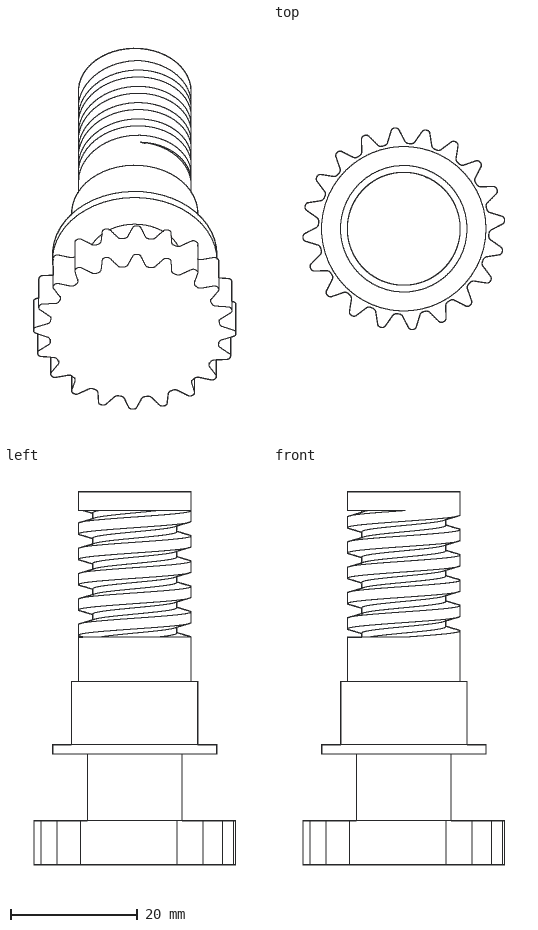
import cadquery as cq
import math

TOOTH_COUNT = 20
TIP_RADIUS = 16.0
ROOT_RADIUS = 13.5
GEAR_HEIGHT = 7.0
PITCH_RADIUS = TIP_RADIUS * TOOTH_COUNT / (TOOTH_COUNT + 2)
TOOTH_THICKNESS = 2.15
FLANK_ANGLE = 22.0
TIP_FILLET = 0.6
ROOT_FILLET = 0.7
FIRST_TOOTH_ANGLE = 5.0

NECK_DIAMETER = 15.0
NECK_TOP = 17.5
FLANGE_DIAMETER = 26.0
FLANGE_TOP = 19.0
SHOULDER_DIAMETER = 20.0
SHOULDER_TOP = 29.0
WORM_DIAMETER = 17.85
SHAFT_TOP = 59.0

THREAD_BOTTOM = 36.0
THREAD_PITCH = 4.0
THREAD_TURNS = 5
THREAD_TOP = THREAD_BOTTOM + THREAD_TURNS * THREAD_PITCH
CORE_DIAMETER = 13.29
GROOVE_ROOT_WIDTH = THREAD_PITCH / 4
GROOVE_FLANK_ANGLE = 16.0
GROOVE_START_ANGLE = 167.5
OVERCUT = 0.5


def cylinder(diameter, bottom, top):
    return cq.Workplane("XY").workplane(offset=bottom).circle(diameter / 2).extrude(top - bottom)


def half_thickness(radius):
    """Half the tooth thickness at a distance along the tooth centre line."""
    return TOOTH_THICKNESS / 2 - (radius - PITCH_RADIUS) * math.tan(math.radians(FLANK_ANGLE))


def gear_blank():
    """Root disc with one straight-flanked tooth per step, trimmed to the tip circle."""
    inner = ROOT_RADIUS - OVERCUT
    outer = TIP_RADIUS + OVERCUT
    corners = [
        (inner, -half_thickness(inner)),
        (outer, -half_thickness(outer)),
        (outer, half_thickness(outer)),
        (inner, half_thickness(inner)),
    ]
    tooth = cq.Workplane("XY").polyline(corners).close().extrude(GEAR_HEIGHT)
    tooth = tooth.intersect(cylinder(2 * TIP_RADIUS, 0, GEAR_HEIGHT))
    blank = cylinder(2 * ROOT_RADIUS, 0, GEAR_HEIGHT)
    for index in range(TOOTH_COUNT):
        angle = FIRST_TOOTH_ANGLE + index * 360 / TOOTH_COUNT
        blank = blank.union(tooth.rotate((0, 0, 0), (0, 0, 1), angle))
    return blank


def round_tooth_edges(gear, edge_radius, fillet):
    """Fillet the upright tooth edges that lie at one distance from the axis."""
    margin = (TIP_RADIUS - ROOT_RADIUS) / 4
    edges = gear.edges("|Z").filter(
        lambda edge: abs(math.hypot(edge.Center().x, edge.Center().y) - edge_radius) < margin
    )
    return edges.fillet(fillet)


def make_gear():
    gear = round_tooth_edges(gear_blank(), TIP_RADIUS, TIP_FILLET)
    return round_tooth_edges(gear, ROOT_RADIUS, ROOT_FILLET)


def make_shaft():
    shaft = cylinder(NECK_DIAMETER, 0, NECK_TOP)
    shaft = shaft.union(cylinder(FLANGE_DIAMETER, NECK_TOP, FLANGE_TOP))
    shaft = shaft.union(cylinder(SHOULDER_DIAMETER, FLANGE_TOP, SHOULDER_TOP))
    return shaft.union(cylinder(WORM_DIAMETER, SHOULDER_TOP, SHAFT_TOP))


def make_groove():
    """Trapezoidal groove on a right-hand helix, clipped flat at both ends of the thread."""
    core_radius = CORE_DIAMETER / 2
    outer_radius = WORM_DIAMETER / 2 + OVERCUT
    root_half = GROOVE_ROOT_WIDTH / 2
    mouth_half = root_half + (outer_radius - core_radius) * math.tan(math.radians(GROOVE_FLANK_ANGLE))
    helix = cq.Wire.makeHelix(THREAD_PITCH, (THREAD_TURNS + 2) * THREAD_PITCH, core_radius)
    section = cq.Workplane("XZ").polyline(
        [
            (core_radius, -root_half),
            (outer_radius, -mouth_half),
            (outer_radius, mouth_half),
            (core_radius, root_half),
        ]
    ).close()
    groove = section.sweep(cq.Workplane(obj=helix), isFrenet=True)
    groove = groove.rotate((0, 0, 0), (0, 0, 1), GROOVE_START_ANGLE)
    groove = groove.translate((0, 0, THREAD_BOTTOM - THREAD_PITCH))
    return groove.intersect(cylinder(2 * (outer_radius + OVERCUT), THREAD_BOTTOM, THREAD_TOP))


result = make_gear().union(make_shaft()).cut(make_groove())